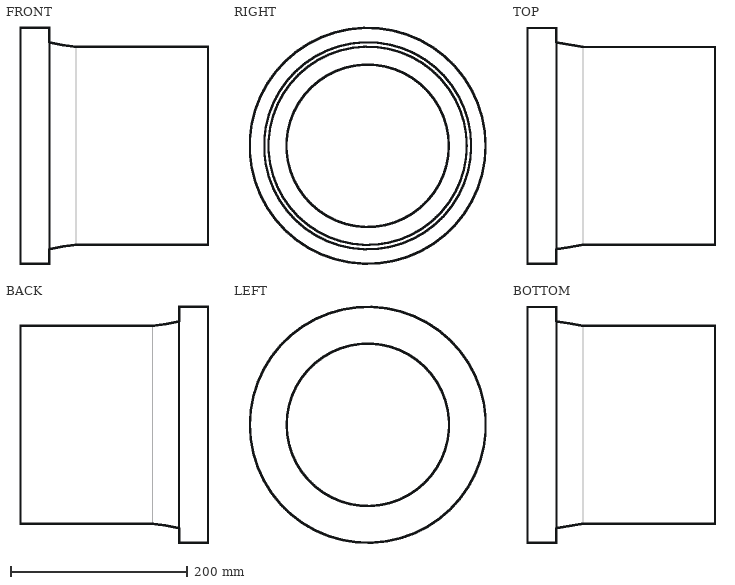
import cadquery as cq

total_length = 213.0
collar_length = 33.0
neck_length = 30.0

collar_diameter = 268.0
neck_diameter = 235.0
pipe_diameter = 225.0
bore_diameter = 184.0

collar_radius = collar_diameter / 2
neck_radius = neck_diameter / 2
pipe_radius = pipe_diameter / 2
bore_radius = bore_diameter / 2
neck_end = collar_length + neck_length


def stub_end():
    """Revolve the half section (X along the axis, Y as radius) about the X axis."""
    half_section = (
        cq.Workplane("XY")
        .moveTo(0, bore_radius)
        .lineTo(0, collar_radius)
        .lineTo(collar_length, collar_radius)
        .lineTo(collar_length, neck_radius)
        .lineTo(neck_end, pipe_radius)
        .lineTo(total_length, pipe_radius)
        .lineTo(total_length, bore_radius)
        .close()
    )
    return half_section.revolve(360, (0, 0, 0), (1, 0, 0))


result = stub_end()